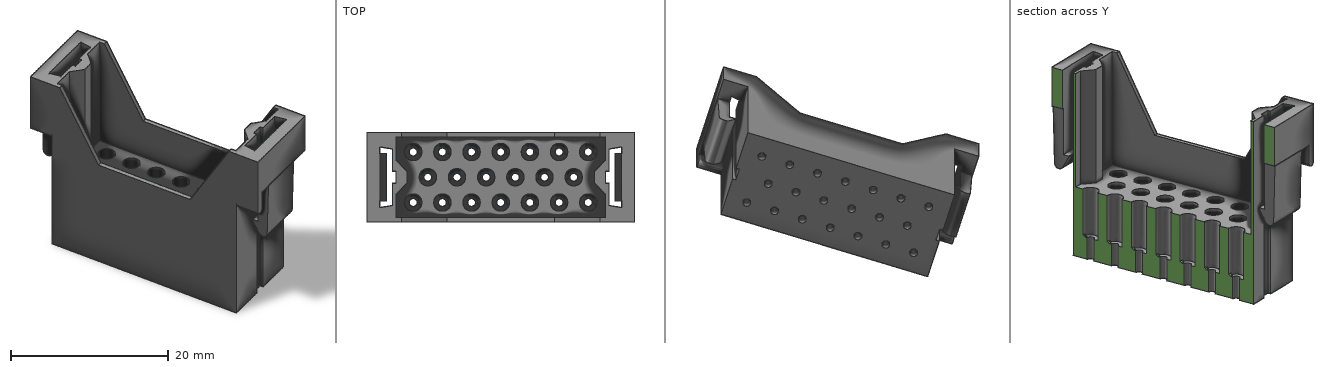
import cadquery as cq
import math

length = 34.0
depth = 11.4
height = 25.4

body_length = 27.55
head_bottom = 19.95
lip_width = 1.0
lip_bottom = 16.93

pocket_length = 26.65
pocket_depth = 10.2
pocket_floor = 9.65

opening_floor = 15.37
opening_floor_width = 13.67
opening_wall_angle = 30.0

rib_reach = 1.4
guide_width = 1.5
rib_root_width = 4.42

slot_outer_x = 15.37
slot_outer_width = 7.7
slot_inner_width = 7.15

arm_width = 6.05
arm_top_x = 16.93
arm_tip_radius = 0.68
arm_bottom = 11.45
hook_x = 14.52
hook_top = 13.55
hook_slope = 60.0

hole_pitch = 3.7
row_spacing = hole_pitch * math.sin(math.radians(60))
cavity_diameter = 2.2
cavity_floor = 3.05
wire_diameter = 1.0
outer_row_count = 7
middle_row_count = 6

ramp_inner_radius = 0.75
ramp_height = 0.25
ramp_sweep = 135.0
outer_row_ramp_start = -20.0
middle_row_ramp_start = 65.0


def both_ends(solid):
    """A feature built at the +X end together with its mirror image at -X."""
    return solid.union(solid.mirror("YZ"))


def box(x_size, y_size, bottom, top):
    """Box centred on the Z axis between two heights."""
    return (
        cq.Workplane("XY").workplane(offset=bottom)
        .rect(x_size, y_size).extrude(top - bottom)
    )


def end_lip():
    """Round-edged strip hanging from the front edge of one head."""
    front = -depth / 2
    radius = lip_width / 2
    return (
        cq.Workplane("YZ").workplane(offset=body_length / 2)
        .moveTo(front, head_bottom)
        .lineTo(front, lip_bottom + radius)
        .threePointArc((front + radius, lip_bottom), (front + lip_width, lip_bottom + radius))
        .lineTo(front + lip_width, head_bottom)
        .close().extrude((length - body_length) / 2)
    )


def snap_arm():
    """Tapered arm with a rounded tip and an inward hook."""
    centre_x = slot_outer_x + arm_tip_radius
    centre_z = arm_bottom + arm_tip_radius
    slope = math.radians(hook_slope)
    tangent_x = centre_x - arm_tip_radius * math.sin(slope)
    tangent_z = centre_z - arm_tip_radius * math.cos(slope)
    hook_z = tangent_z + (tangent_x - hook_x) * math.tan(slope)
    return (
        cq.Workplane("XZ")
        .moveTo(arm_top_x, head_bottom)
        .lineTo(centre_x + arm_tip_radius, centre_z)
        .threePointArc((centre_x, arm_bottom), (tangent_x, tangent_z))
        .lineTo(hook_x, hook_z)
        .lineTo(hook_x, hook_top)
        .lineTo(slot_outer_x, hook_top)
        .lineTo(slot_outer_x, head_bottom)
        .close().extrude(arm_width / 2, both=True)
    )


def guide_rib():
    """Trapezoidal rib standing on one end wall of the pocket."""
    root_x = pocket_length / 2
    return (
        cq.Workplane("XY").workplane(offset=pocket_floor)
        .polyline([
            (root_x, -rib_root_width / 2),
            (root_x - rib_reach, -guide_width / 2),
            (root_x - rib_reach, guide_width / 2),
            (root_x, rib_root_width / 2),
        ])
        .close().extrude(height - pocket_floor)
    )


def head_slot():
    """Slot through one head, clear of the body end face."""
    inner_x = body_length / 2
    return (
        cq.Workplane("XY").workplane(offset=head_bottom)
        .polyline([
            (inner_x, -slot_inner_width / 2),
            (slot_outer_x, -slot_outer_width / 2),
            (slot_outer_x, slot_outer_width / 2),
            (inner_x, slot_inner_width / 2),
        ])
        .close().extrude(height - head_bottom)
    )


def end_groove():
    """Full-height groove in one end face of the body."""
    groove_depth = (body_length - pocket_length) / 2
    centre_x = (body_length - groove_depth) / 2
    return box(groove_depth, guide_width, 0, height).translate((centre_x, 0, 0))


def wall_opening():
    """Trapezoidal opening, wider at the top, through both long walls."""
    half_floor = opening_floor_width / 2
    spread = (height - opening_floor) * math.tan(math.radians(opening_wall_angle))
    return (
        cq.Workplane("XZ")
        .polyline([
            (-half_floor, opening_floor),
            (half_floor, opening_floor),
            (half_floor + spread, height),
            (-half_floor - spread, height),
        ])
        .close().extrude(depth / 2, both=True)
    )


def contact_hole(ramp_start):
    """Wide cavity with a partial conical ramp on its floor and a narrow hole below."""
    radius = cavity_diameter / 2
    cavity = cq.Workplane("XY").workplane(offset=cavity_floor).circle(radius)
    cavity = cavity.extrude(pocket_floor - cavity_floor)
    ramp = (
        cq.Workplane("XZ")
        .polyline([
            (ramp_inner_radius, cavity_floor),
            (radius, cavity_floor),
            (radius, cavity_floor + ramp_height),
        ])
        .close().revolve(ramp_sweep, (0, 0, 0), (0, 1, 0))
        .rotate((0, 0, 0), (0, 0, 1), ramp_start)
    )
    wire_hole = cq.Workplane("XY").circle(wire_diameter / 2).extrude(cavity_floor)
    return cavity.cut(ramp).union(wire_hole)


def cut_row(solid, count, y, ramp_start):
    """Cut one evenly pitched row of contact holes, centred on x = 0."""
    hole = contact_hole(ramp_start)
    for index in range(count):
        x = (index - (count - 1) / 2) * hole_pitch
        solid = solid.cut(hole.translate((x, y, 0)))
    return solid


housing = box(body_length, depth, 0, height)
housing = housing.union(box(length, depth, head_bottom, height))
housing = housing.union(both_ends(end_lip()))
housing = housing.cut(wall_opening())
housing = housing.cut(box(pocket_length, pocket_depth, pocket_floor, height))

housing = housing.union(both_ends(guide_rib()))
housing = housing.cut(both_ends(head_slot()))
housing = housing.cut(both_ends(end_groove()))
housing = housing.union(both_ends(snap_arm()))

housing = cut_row(housing, outer_row_count, row_spacing, outer_row_ramp_start)
housing = cut_row(housing, middle_row_count, 0, middle_row_ramp_start)
housing = cut_row(housing, outer_row_count, -row_spacing, outer_row_ramp_start)

result = housing